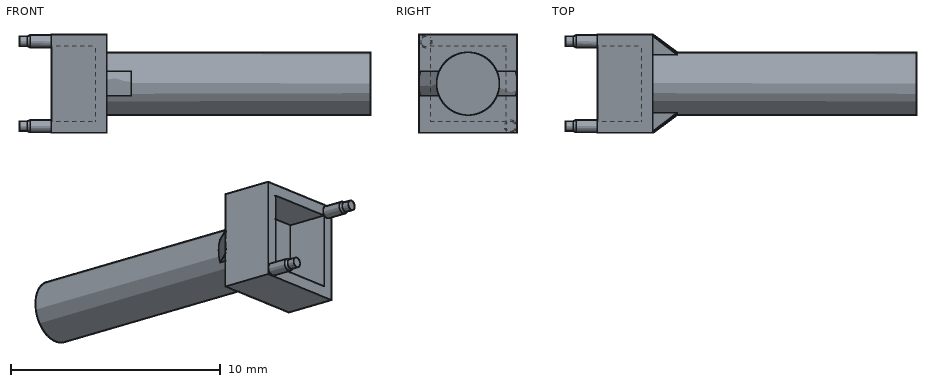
import cadquery as cq

total_length = 16.76

head_width = 4.7
head_length = 2.66
pocket_width = 3.6
pocket_depth = 2.1

shank_radius = 1.5

rib_length = 1.15
rib_width = 1.17

pin_radius = 0.3
pin_length = 1.52
pin_tip_radius = 0.24
pin_tip_length = 0.38
pin_taper_length = 0.13
pin_offset = 2.025

head_front = pin_length
head_back = head_front + head_length
shank_length = total_length - head_back


def make_ribs():
    """Two opposite ribs at +Y and -Y, cut from one cone around the shank."""
    cone = (
        cq.Workplane("XY")
        .moveTo(head_back, 0)
        .lineTo(head_back, head_width / 2)
        .lineTo(head_back + rib_length, shank_radius)
        .lineTo(head_back + rib_length, 0)
        .close()
        .revolve(360, (0, 0, 0), (1, 0, 0))
    )
    rib_band = (
        cq.Workplane("YZ", origin=(head_back, 0, 0))
        .rect(head_width, rib_width)
        .extrude(rib_length)
    )
    return cone.intersect(rib_band)


def make_housing():
    """Pocketed square head, shank and ribs as one solid."""
    head = (
        cq.Workplane("YZ", origin=(head_front, 0, 0))
        .rect(head_width, head_width)
        .extrude(head_length)
    )
    pocket = (
        cq.Workplane("YZ", origin=(head_front, 0, 0))
        .rect(pocket_width, pocket_width)
        .extrude(pocket_depth)
    )
    shank = (
        cq.Workplane("YZ", origin=(head_back, 0, 0))
        .circle(shank_radius)
        .extrude(shank_length)
    )
    return head.cut(pocket).union(shank).union(make_ribs())


def make_pin(y, z):
    """Stepped pin with a tapered shoulder, seated on the front face of the head."""
    taper_end = pin_tip_length + pin_taper_length
    return (
        cq.Workplane("XY")
        .lineTo(0, pin_tip_radius)
        .lineTo(pin_tip_length, pin_tip_radius)
        .lineTo(taper_end, pin_radius)
        .lineTo(pin_length, pin_radius)
        .lineTo(pin_length, 0)
        .close()
        .revolve(360, (0, 0, 0), (1, 0, 0))
        .translate((0, y, z))
    )


housing = make_housing()

pins = [make_pin(side * pin_offset, -side * pin_offset) for side in (1, -1)]

result = cq.Compound.makeCompound([housing.val(), *[pin.val() for pin in pins]])